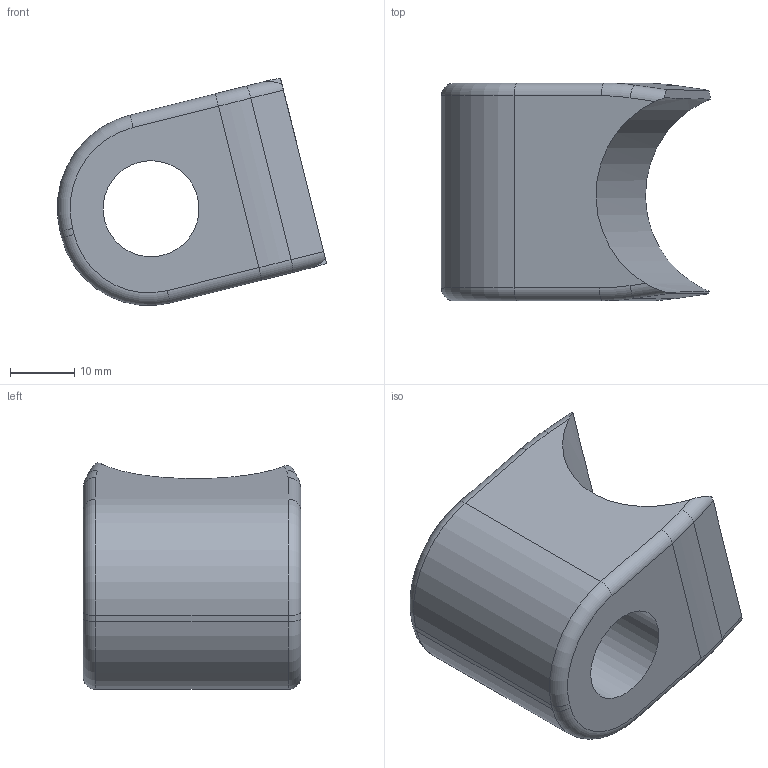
import cadquery as cq
import math

tilt_angle = 14.0

width = 34.0
height = 30.0
length = 39.18
end_x = 24.53
back_x = end_x - length
upper_back_radius = 15.0
lower_back_radius = 14.0
edge_fillet = 2.0
bore_diameter = 15.0

taper_angle = 8.0
left_bend_start_x = 14.4
right_bend_start_x = 14.1
bend_end_x = 19.3

saddle_radius = 16.0
saddle_depth = 10.5
saddle_offset_y = -0.5
saddle_lean = 0.9


def side_points(bend_start_x, side):
    """Start, middle and end of the bend, then the tip, on the +Y (1) or -Y (-1) side."""
    taper = math.radians(taper_angle)
    bend_radius = (bend_end_x - bend_start_x) / math.sin(taper)

    def on_bend(angle):
        x = bend_start_x + bend_radius * math.sin(angle)
        half_width = width / 2 - bend_radius * (1 - math.cos(angle))
        return (x, side * half_width)

    bend_end = on_bend(taper)
    tip_y = bend_end[1] - side * (end_x - bend_end_x) * math.tan(taper)
    return on_bend(0), on_bend(taper / 2), bend_end, (end_x, tip_y)


def tapered_block():
    left_start, left_middle, left_end, left_tip = side_points(left_bend_start_x, 1)
    right_start, right_middle, right_end, right_tip = side_points(right_bend_start_x, -1)
    return (
        cq.Workplane("XY", origin=(0, 0, -height / 2))
        .moveTo(back_x, width / 2)
        .lineTo(*left_start)
        .threePointArc(left_middle, left_end)
        .lineTo(*left_tip)
        .lineTo(*right_tip)
        .lineTo(*right_end)
        .threePointArc(right_middle, right_start)
        .lineTo(back_x, -width / 2)
        .close()
        .extrude(height)
    )


def rounded_block():
    block = tapered_block()
    block = block.faces("<X").edges(">Z").fillet(upper_back_radius)
    block = block.faces("<X").edges("<Z").fillet(lower_back_radius)
    return block.edges(">Z and |X").fillet(edge_fillet)


def bore():
    return cq.Workplane("XZ").circle(bore_diameter / 2).extrude(width, both=True)


def saddle():
    axis_x = end_x - saddle_depth + saddle_radius
    lean_pivot = cq.Vector(axis_x, 0, -height / 2)
    return (
        cq.Workplane("XY")
        .center(axis_x, saddle_offset_y)
        .circle(saddle_radius)
        .extrude(height, both=True)
        .rotate(lean_pivot, lean_pivot + cq.Vector(0, 1, 0), -saddle_lean)
    )


untilted_part = rounded_block().cut(bore()).cut(saddle())
result = untilted_part.rotate((0, 0, 0), (0, 1, 0), -tilt_angle)